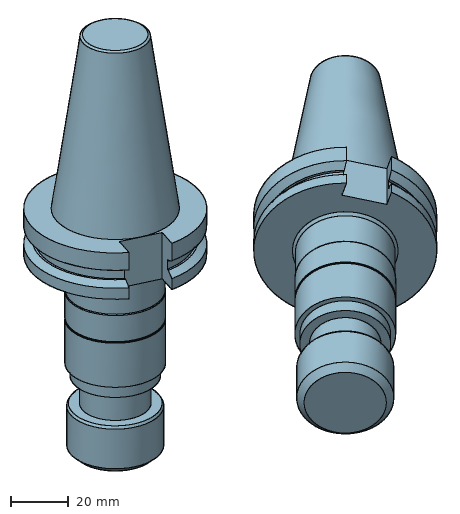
import cadquery as cq
import math

TOTAL_HEIGHT = 165.45
FLANGE_TOP = 96.45
FLANGE_THICKNESS = 18.4

TAPER_RATE = 7 / 24
GAUGE_DIAMETER = 44.45
TAPER_TIP_CHAMFER_HEIGHT = 0.6
TAPER_TIP_CHAMFER_WIDTH = 0.9

FLANGE_DIAMETER = 63.5
UPPER_RIM_HEIGHT = 6.9
LOWER_RIM_HEIGHT = 4.4
GROOVE_DIAMETER = 56.0
GROOVE_LEDGE_DIAMETER = 57.6
GROOVE_FLANK_ANGLE = 30

SLOT_WIDTH = 16.15
SLOT_FLOOR_LEFT = 24.8
SLOT_FLOOR_RIGHT = 22.3

SHANK_DIAMETER = 34.6
SHANK_FLARE = 1.0
COLLAR_DIAMETER = 35.0
COLLAR_CHAMFER_HEIGHT = 0.4
COLLAR_TOP = 64.0
COLLAR_BOTTOM = 35.1
COLLAR_GROOVE_DIAMETER = SHANK_DIAMETER
COLLAR_GROOVE_WIDTH = 0.5
COLLAR_GROOVE_TOP = 53.1
LOWER_STEP_DIAMETER = 31.5
LOWER_STEP_BOTTOM = 30.1
NECK_DIAMETER = 24.87

NUT_DIAMETER = 33.7
NUT_TOP = 19.1
NUT_TOP_DIAMETER = 32.5
NUT_TOP_CHAMFER_HEIGHT = 1.0
NUT_FACE_DIAMETER = 28.5
NUT_FACE_CHAMFER_HEIGHT = 2.4


def revolve_profile(points):
    """Revolve a list of (diameter, height) points, closed along the axis, about Z."""
    outline = [(0, points[0][1])]
    outline += [(diameter / 2, height) for diameter, height in points]
    outline += [(0, points[-1][1])]
    return cq.Workplane("XZ").polyline(outline).close().revolve(360, (0, 0, 0), (0, 1, 0))


def make_nut():
    return revolve_profile([
        (NUT_FACE_DIAMETER, 0),
        (NUT_DIAMETER, NUT_FACE_CHAMFER_HEIGHT),
        (NUT_DIAMETER, NUT_TOP - NUT_TOP_CHAMFER_HEIGHT),
        (NUT_TOP_DIAMETER, NUT_TOP),
    ])


def make_shank():
    flange_bottom = FLANGE_TOP - FLANGE_THICKNESS
    groove_bottom = COLLAR_GROOVE_TOP - COLLAR_GROOVE_WIDTH
    return revolve_profile([
        (NECK_DIAMETER, NUT_TOP),
        (NECK_DIAMETER, LOWER_STEP_BOTTOM),
        (LOWER_STEP_DIAMETER, LOWER_STEP_BOTTOM),
        (LOWER_STEP_DIAMETER, COLLAR_BOTTOM),
        (COLLAR_DIAMETER, COLLAR_BOTTOM),
        (COLLAR_DIAMETER, groove_bottom),
        (COLLAR_GROOVE_DIAMETER, groove_bottom),
        (COLLAR_GROOVE_DIAMETER, COLLAR_GROOVE_TOP),
        (COLLAR_DIAMETER, COLLAR_GROOVE_TOP),
        (COLLAR_DIAMETER, COLLAR_TOP - COLLAR_CHAMFER_HEIGHT),
        (SHANK_DIAMETER, COLLAR_TOP),
        (SHANK_DIAMETER, flange_bottom - SHANK_FLARE),
        (SHANK_DIAMETER + 2 * SHANK_FLARE, flange_bottom),
    ])


def make_flange():
    flange_bottom = FLANGE_TOP - FLANGE_THICKNESS
    flank_depth = (FLANGE_DIAMETER - GROOVE_LEDGE_DIAMETER) / 2
    flank_height = flank_depth * math.tan(math.radians(GROOVE_FLANK_ANGLE))
    groove_top = FLANGE_TOP - UPPER_RIM_HEIGHT
    groove_bottom = flange_bottom + LOWER_RIM_HEIGHT
    return revolve_profile([
        (FLANGE_DIAMETER, flange_bottom),
        (FLANGE_DIAMETER, groove_bottom),
        (GROOVE_LEDGE_DIAMETER, groove_bottom + flank_height),
        (GROOVE_DIAMETER, groove_bottom + flank_height),
        (GROOVE_DIAMETER, groove_top - flank_height),
        (GROOVE_LEDGE_DIAMETER, groove_top - flank_height),
        (FLANGE_DIAMETER, groove_top),
        (FLANGE_DIAMETER, FLANGE_TOP),
    ])


def make_drive_slot(floor_distance, side):
    """Cutter for one drive slot; side is +1 toward +X and -1 toward -X."""
    reach = FLANGE_DIAMETER / 2
    cutter = cq.Workplane("XY").box(reach, SLOT_WIDTH, FLANGE_THICKNESS)
    centre_height = FLANGE_TOP - FLANGE_THICKNESS / 2
    return cutter.translate((side * (floor_distance + reach / 2), 0, centre_height))


def make_taper():
    chamfer_start = TOTAL_HEIGHT - TAPER_TIP_CHAMFER_HEIGHT
    tip_diameter = GAUGE_DIAMETER - TAPER_RATE * (chamfer_start - FLANGE_TOP)
    return revolve_profile([
        (GAUGE_DIAMETER, FLANGE_TOP),
        (tip_diameter, chamfer_start),
        (tip_diameter - 2 * TAPER_TIP_CHAMFER_WIDTH, TOTAL_HEIGHT),
    ])


flange = make_flange()
flange = flange.cut(make_drive_slot(SLOT_FLOOR_LEFT, -1))
flange = flange.cut(make_drive_slot(SLOT_FLOOR_RIGHT, 1))

result = make_nut().union(make_shank()).union(flange).union(make_taper())